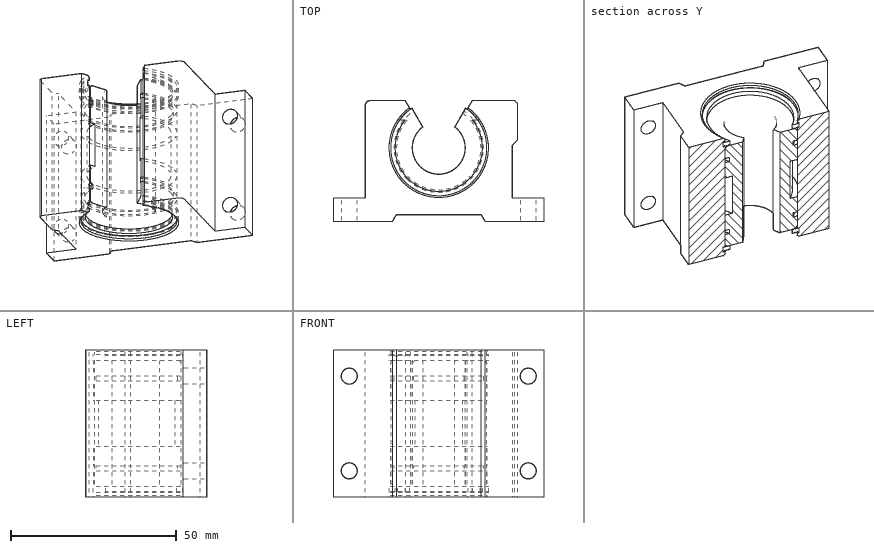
import cadquery as cq
import math

WIDTH = 63.5
DEPTH = 36.5
HEIGHT = 44.45

FLANGE_THICKNESS = 7.1
BODY_HALF_WIDTH = 22.2
LEDGE_STEP = 1.6
LEDGE_LOW_Y = 23.05
CORNER_FILLET = 1.6
CORNER_CHAMFER = 0.95
CHANNEL_DEPTH = 2.05
CHANNEL_HALF_WIDTH = 14.0
WALL_ANGLE = 30.0
TAN_WALL = math.tan(math.radians(WALL_ANGLE))

HOLE_DIAMETER = 4.75
HOLE_SPACING_X = 54.0
HOLE_SPACING_Z = 28.6

BORE_Y = 22.2
BORE_RADIUS = 14.5
BORE_CHAMFER = 0.5
HOUSING_APEX_DROP = 3.2

BEARING_LENGTH = 38.1
BEARING_BOTTOM = (HEIGHT - BEARING_LENGTH) / 2
BEARING_TOP = BEARING_BOTTOM + BEARING_LENGTH
SHAFT_RADIUS = 7.95
SHAFT_ROUNDING = 0.6
RIM_ROUNDING = 0.95
BEARING_APEX_DROP = 2.05
CLIP_GROOVE_INSET = 4.75
CLIP_GROOVE_WIDTH = 1.4
CLIP_GROOVE_RADIUS = 13.45
WAIST_LENGTH = 13.85
WAIST_RADIUS = 12.7

RING_INNER_RADIUS = 13.15
RING_OUTER_RADIUS = 15.0
RING_THICKNESS = 1.45
RING_GROOVE_WIDTH = 1.7
RING_END_RISE = 8.4


def disc(radius, bottom, height):
    """Cylinder on the bore axis."""
    return cq.Workplane("XY", origin=(0, BORE_Y, bottom)).circle(radius).extrude(height)


def opening(apex_drop):
    """Wedge that opens the bore towards +Y."""
    apex_y = BORE_Y - apex_drop
    top_y = BORE_Y + 2 * BORE_RADIUS
    half_width = (top_y - apex_y) * TAN_WALL
    outline = [(0, apex_y), (half_width, top_y), (-half_width, top_y)]
    return cq.Workplane("XY").polyline(outline).close().extrude(HEIGHT)


def ring_bottoms():
    """Lower Z of the two retaining rings, which sit against the bearing ends."""
    return [BEARING_BOTTOM - RING_THICKNESS, BEARING_TOP]


def housing_block():
    """Solid block with flanges, a base channel and a ledge on its +X side."""
    half_width = WIDTH / 2
    ledge_half_width = BODY_HALF_WIDTH + LEDGE_STEP
    channel_top_half_width = CHANNEL_HALF_WIDTH - CHANNEL_DEPTH * TAN_WALL
    outline = [
        (-half_width, 0),
        (-CHANNEL_HALF_WIDTH, 0),
        (-channel_top_half_width, CHANNEL_DEPTH),
        (channel_top_half_width, CHANNEL_DEPTH),
        (CHANNEL_HALF_WIDTH, 0),
        (half_width, 0),
        (half_width, FLANGE_THICKNESS),
        (BODY_HALF_WIDTH, FLANGE_THICKNESS),
        (BODY_HALF_WIDTH, LEDGE_LOW_Y),
        (ledge_half_width, LEDGE_LOW_Y + LEDGE_STEP),
        (ledge_half_width, DEPTH),
        (-BODY_HALF_WIDTH, DEPTH),
        (-BODY_HALF_WIDTH, FLANGE_THICKNESS),
        (-half_width, FLANGE_THICKNESS),
    ]
    block = cq.Workplane("XY").polyline(outline).close().extrude(HEIGHT)
    left_corner = cq.NearestToPointSelector((-BODY_HALF_WIDTH, DEPTH, HEIGHT / 2))
    right_corner = cq.NearestToPointSelector((ledge_half_width, DEPTH, HEIGHT / 2))
    return block.edges(left_corner).fillet(CORNER_FILLET).edges(right_corner).chamfer(CORNER_CHAMFER)


def mounting_holes():
    """Four cylinders through the flange."""
    return (
        cq.Workplane("XZ", origin=(0, 0, HEIGHT / 2))
        .rect(HOLE_SPACING_X, HOLE_SPACING_Z, forConstruction=True)
        .vertices()
        .circle(HOLE_DIAMETER / 2)
        .extrude(-FLANGE_THICKNESS)
    )


def housing_bore():
    """Bore flared at both ends, with a groove for each retaining ring."""
    flare_radius = BORE_RADIUS + BORE_CHAMFER
    profile = [
        (0, 0),
        (flare_radius, 0),
        (BORE_RADIUS, BORE_CHAMFER),
        (BORE_RADIUS, HEIGHT - BORE_CHAMFER),
        (flare_radius, HEIGHT),
        (0, HEIGHT),
    ]
    bore = cq.Workplane("XZ", origin=(0, BORE_Y, 0)).polyline(profile).close().revolve(360, (0, 0), (0, 1))
    for bottom in [BEARING_BOTTOM - RING_GROOVE_WIDTH, BEARING_TOP]:
        bore = bore.union(disc(RING_OUTER_RADIUS, bottom, RING_GROOVE_WIDTH))
    return bore


def make_housing():
    """Flanged block, bored and opened along its +Y side."""
    housing = housing_block().cut(mounting_holes()).cut(opening(HOUSING_APEX_DROP))
    return housing.cut(housing_bore())


def band_groove(floor_radius, bottom, width):
    """Band cut into the outside of the bearing."""
    return disc(BORE_RADIUS, bottom, width).cut(disc(floor_radius, bottom, width))


def make_bearing():
    """Open sleeve with rounded end rims, two clip grooves and a narrower waist."""
    bearing = disc(BORE_RADIUS, BEARING_BOTTOM, BEARING_LENGTH).faces("<Z or >Z").edges().fillet(RIM_ROUNDING)
    bearing = bearing.cut(disc(SHAFT_RADIUS, BEARING_BOTTOM, BEARING_LENGTH))
    shaft_rims = cq.selectors.RadiusNthSelector(0)
    bearing = bearing.faces("<Z or >Z").edges(shaft_rims).fillet(SHAFT_ROUNDING)
    lower_groove = BEARING_BOTTOM + CLIP_GROOVE_INSET
    upper_groove = BEARING_TOP - CLIP_GROOVE_INSET - CLIP_GROOVE_WIDTH
    for groove_bottom in [lower_groove, upper_groove]:
        bearing = bearing.cut(band_groove(CLIP_GROOVE_RADIUS, groove_bottom, CLIP_GROOVE_WIDTH))
    bearing = bearing.cut(band_groove(WAIST_RADIUS, (HEIGHT - WAIST_LENGTH) / 2, WAIST_LENGTH))
    return bearing.cut(opening(BEARING_APEX_DROP))


def make_retaining_ring(bottom):
    """Flat ring with its part above the flat ends removed."""
    ring = disc(RING_OUTER_RADIUS, bottom, RING_THICKNESS)
    ring = ring.cut(disc(RING_INNER_RADIUS, bottom, RING_THICKNESS))
    gap_side = 2 * RING_OUTER_RADIUS
    gap = cq.Workplane("XY", origin=(0, BORE_Y + RING_END_RISE, bottom)).box(
        gap_side, gap_side, RING_THICKNESS, centered=(True, False, False)
    )
    return ring.cut(gap)


housing = make_housing()
bearing = make_bearing()
retaining_rings = [make_retaining_ring(bottom) for bottom in ring_bottoms()]

result = cq.Compound.makeCompound([housing.val(), bearing.val(), *[ring.val() for ring in retaining_rings]])